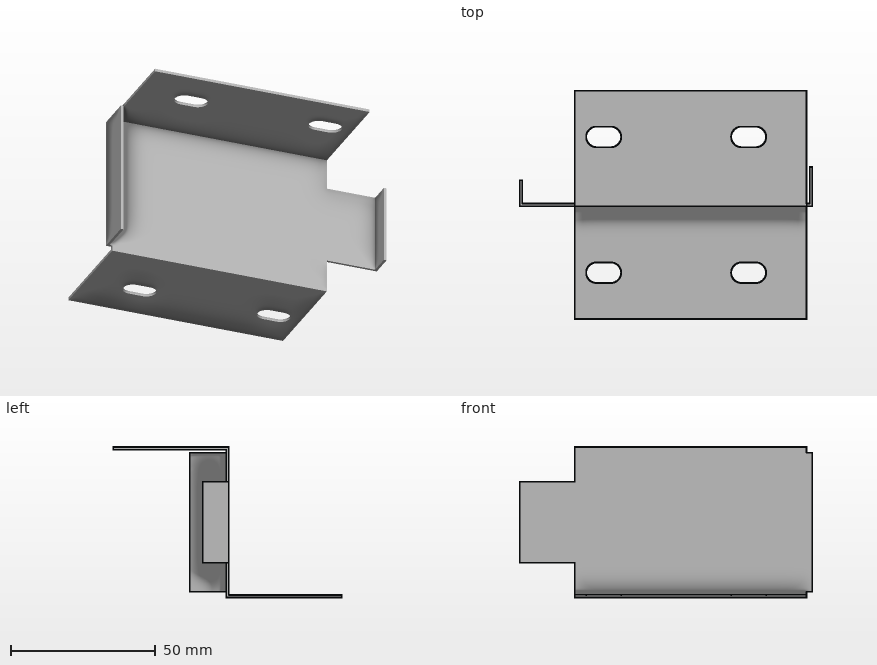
import cadquery as cq

thickness = 1.0
section_length = 80.0
section_height = 52.0
overall_depth = 78.84
flange_depth = (overall_depth + thickness) / 2

tongue_reach = 19.0
tongue_height = 28.0
tongue_lip_depth = 9.0

end_lip_reach = 2.0
end_lip_depth = 13.6
corner_relief = 2.0
end_lip_height = section_height - 2 * corner_relief

slot_length = 12.0
slot_width = 7.0
slot_spacing = 50.0
slot_end_distance = 10.0
slot_free_edge_distance = 16.0

overall_length = tongue_reach + section_length + end_lip_reach
left_end = -overall_length / 2
right_end = overall_length / 2
section_left = left_end + tongue_reach
section_right = right_end - end_lip_reach
web_front = -thickness / 2
web_back = thickness / 2
top = section_height / 2
bottom = -section_height / 2


def block(x_min, x_max, y_min, y_max, height, z_min):
    """Box spanning the given X and Y ranges, standing on z_min."""
    size_x = x_max - x_min
    size_y = y_max - y_min
    box = cq.Workplane("XY").box(size_x, size_y, height, centered=False)
    return box.translate((x_min, y_min, z_min))


def z_section():
    """Web with the upper flange toward +Y and the lower flange toward -Y."""
    web = block(section_left, section_right, web_front, web_back, section_height, bottom)
    upper = block(
        section_left, section_right, web_front, web_front + flange_depth, thickness, top - thickness
    )
    lower = block(section_left, section_right, web_back - flange_depth, web_back, thickness, bottom)
    return web.union(upper).union(lower)


def tongue():
    """Narrow strip continuing the web toward -X, with its bent lip."""
    z_min = -tongue_height / 2
    strip = block(left_end, section_left, web_front, web_back, tongue_height, z_min)
    lip = block(
        left_end, left_end + thickness, web_front, web_front + tongue_lip_depth, tongue_height, z_min
    )
    return strip.union(lip)


def end_lip():
    """Lip across the web at the +X end, relieved at both corners."""
    z_min = -end_lip_height / 2
    strip = block(section_right, right_end, web_front, web_back, end_lip_height, z_min)
    lip = block(
        right_end - thickness, right_end, web_front, web_front + end_lip_depth, end_lip_height, z_min
    )
    return strip.union(lip)


def slot_cutters():
    """Two slots through each flange."""
    first_x = section_left + slot_end_distance
    upper_y = web_front + flange_depth - slot_free_edge_distance
    lower_y = web_back - flange_depth + slot_free_edge_distance
    centres = [(x, y) for x in (first_x, first_x + slot_spacing) for y in (upper_y, lower_y)]
    sketch = cq.Workplane("XY").workplane(offset=bottom).pushPoints(centres)
    return sketch.slot2D(slot_length, slot_width).extrude(section_height)


result = z_section().union(tongue()).union(end_lip()).cut(slot_cutters())